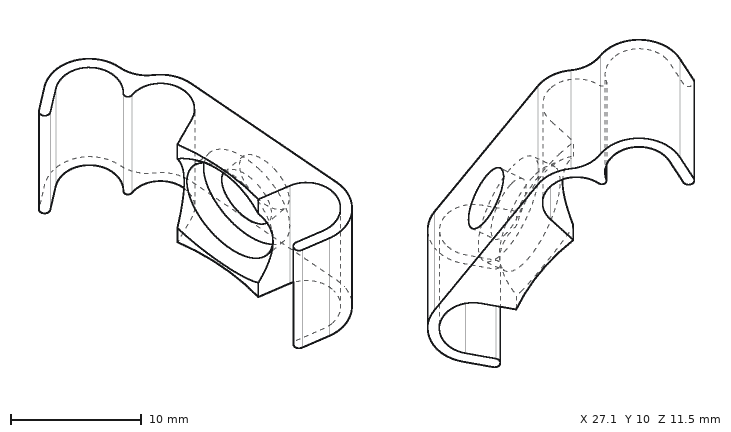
import cadquery as cq
import math


HEIGHT = 11.45
OUTER_RADIUS = 3.5
WALL = 0.9
CLIP_SPAN = 15.0
SIDE_CLIP_OFFSET_X = 5.12
SIDE_CLIP_OFFSET_Y = 2.45
WEB_RADIUS = 3.1
LIP_RADIUS = 0.35
ARM_LENGTH = 2.39
ARM_ANGLE = 18.4
SIDE_ARM_ANGLE = 32.0
BLOCK_DEPTH = 5.3
BLOCK_FACE_RADIUS = 20.0
HOLE_RADIUS = 2.55
SEAT_RADIUS = 4.42
SEAT_DEPTH = 2.0
FLARE_DEPTH = 3.9
FLARE_ANGLE = 45.0

INNER_RADIUS = OUTER_RADIUS - WALL
TIP_RADIUS = WALL / 2
ARM_RADIUS = INNER_RADIUS + TIP_RADIUS

RIGHT_CLIP = (CLIP_SPAN / 2, -OUTER_RADIUS)
MIDDLE_CLIP = (-CLIP_SPAN / 2, -OUTER_RADIUS)
LEFT_CLIP = (MIDDLE_CLIP[0] - SIDE_CLIP_OFFSET_X, MIDDLE_CLIP[1] - SIDE_CLIP_OFFSET_Y)


def polar(center, radius, angle):
    """Point at an angle in degrees, counterclockwise from +X."""
    turn = math.radians(angle)
    return (center[0] + radius * math.cos(turn), center[1] + radius * math.sin(turn))


def bearing(start, end):
    """Direction in degrees from one point to another, between 0 and 360."""
    return math.degrees(math.atan2(end[1] - start[1], end[0] - start[0])) % 360


def arc_to(sketch, center, radius, start, end):
    """Continue the outline along an arc from one angle to another."""
    return sketch.threePointArc(polar(center, radius, (start + end) / 2), polar(center, radius, end))


def touching_center(radius):
    """Center, behind the left and middle clips, at one radius from both."""
    half = math.dist(LEFT_CLIP, MIDDLE_CLIP) / 2
    middle = ((LEFT_CLIP[0] + MIDDLE_CLIP[0]) / 2, (LEFT_CLIP[1] + MIDDLE_CLIP[1]) / 2)
    across = bearing(LEFT_CLIP, MIDDLE_CLIP) + 90
    return polar(middle, math.sqrt(radius**2 - half**2), across)


def make_body():
    web = touching_center(OUTER_RADIUS + WEB_RADIUS)
    lip = touching_center(INNER_RADIUS + LIP_RADIUS)

    right_end = -ARM_ANGLE
    left_end = 180 + SIDE_ARM_ANGLE
    right_tip = polar(polar(RIGHT_CLIP, ARM_RADIUS, right_end), ARM_LENGTH, right_end - 90)
    left_tip = polar(polar(LEFT_CLIP, ARM_RADIUS, left_end), ARM_LENGTH, left_end + 90)

    wall_start = polar(RIGHT_CLIP, INNER_RADIUS, 180 - ARM_ANGLE)
    wall_drop = wall_start[1] + BLOCK_DEPTH
    corner_x = wall_start[0] - wall_drop * math.tan(math.radians(ARM_ANGLE))
    face_rise = BLOCK_FACE_RADIUS - math.sqrt(BLOCK_FACE_RADIUS**2 - corner_x**2)

    outline = cq.Workplane("XY").moveTo(MIDDLE_CLIP[0], 0).lineTo(RIGHT_CLIP[0], 0)
    outline = arc_to(outline, RIGHT_CLIP, OUTER_RADIUS, 90, right_end)
    outline = outline.lineTo(*polar(right_tip, TIP_RADIUS, right_end))
    outline = arc_to(outline, right_tip, TIP_RADIUS, right_end, right_end - 180)

    outline = outline.lineTo(*polar(RIGHT_CLIP, INNER_RADIUS, right_end))
    outline = arc_to(outline, RIGHT_CLIP, INNER_RADIUS, right_end, 180 - ARM_ANGLE)
    outline = outline.lineTo(corner_x, -BLOCK_DEPTH)
    outline = outline.threePointArc((0, face_rise - BLOCK_DEPTH), (-corner_x, -BLOCK_DEPTH))
    outline = outline.lineTo(-wall_start[0], wall_start[1])

    lip_right = bearing(MIDDLE_CLIP, lip)
    lip_left = bearing(LEFT_CLIP, lip)
    outline = arc_to(outline, MIDDLE_CLIP, INNER_RADIUS, ARM_ANGLE, lip_right)
    outline = arc_to(outline, lip, LIP_RADIUS, lip_right + 180, lip_left + 180)
    outline = arc_to(outline, LEFT_CLIP, INNER_RADIUS, lip_left, left_end)
    outline = outline.lineTo(*polar(left_tip, TIP_RADIUS, left_end + 180))
    outline = arc_to(outline, left_tip, TIP_RADIUS, left_end + 180, left_end)

    web_left = bearing(LEFT_CLIP, web)
    web_right = bearing(MIDDLE_CLIP, web)
    outline = outline.lineTo(*polar(LEFT_CLIP, OUTER_RADIUS, left_end))
    outline = arc_to(outline, LEFT_CLIP, OUTER_RADIUS, left_end, web_left)
    outline = arc_to(outline, web, WEB_RADIUS, web_left + 180, web_right + 180)
    outline = arc_to(outline, MIDDLE_CLIP, OUTER_RADIUS, web_right, 90)
    return outline.close().extrude(HEIGHT / 2, both=True)


def make_screw_cut():
    """Through hole with a flared counterbore for the screw head, turned about Y."""
    flare = (BLOCK_DEPTH - FLARE_DEPTH) * math.tan(math.radians(FLARE_ANGLE))
    profile = [
        (0, 0),
        (HOLE_RADIUS, 0),
        (HOLE_RADIUS, -SEAT_DEPTH),
        (SEAT_RADIUS, -SEAT_DEPTH),
        (SEAT_RADIUS, -FLARE_DEPTH),
        (SEAT_RADIUS + flare, -BLOCK_DEPTH),
        (0, -BLOCK_DEPTH),
    ]
    return cq.Workplane("XY").polyline(profile).close().revolve(360, (0, 0, 0), (0, 1, 0))


result = make_body().cut(make_screw_cut())